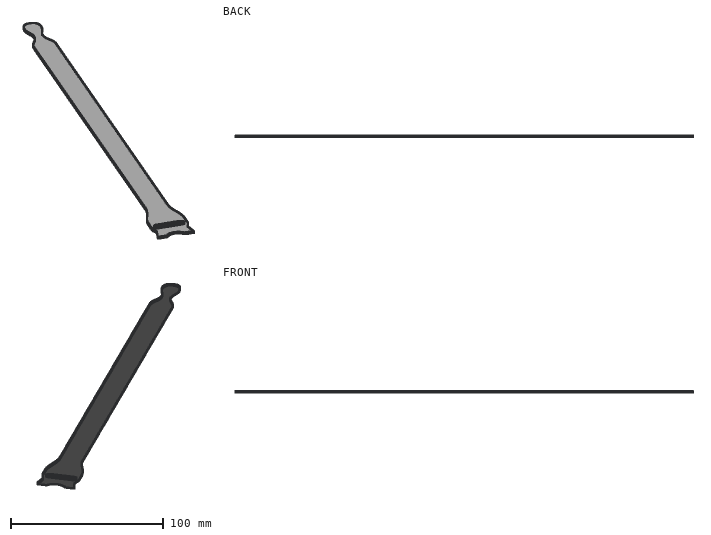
import cadquery as cq

length = 300.0
end_half_width = 25.0 / 2
thickness = 1.2

tab_half_width = 11.7 / 2
tab_widest_x = 7.0
neck_x = 18.0
neck_half_width = 3.0
strap_half_width = 15.3 / 2
strap_start_x = 31.5
strap_end_x = 260.5

buckle_start_x = 280.8
buckle_end_x = 287.5
waist_x = 293.0
waist_half_width = 10.8
horn_half_width = 6.3
end_recess = 3.0
end_bevel = 0.3

slot_x = 286.2
slot_width = 4.8
slot_length = 20.7


def half_outline():
    """Half of the strap on the +Y side, closed along the centre line."""
    along = (1, 0)
    return (
        cq.Workplane("XY")
        .moveTo(0, 0)
        .spline([(tab_widest_x, tab_half_width)], tangents=[(0, 1), along], includeCurrent=True)
        .spline([(neck_x, neck_half_width)], tangents=[along, along], includeCurrent=True)
        .spline([(strap_start_x, strap_half_width)], tangents=[along, along], includeCurrent=True)
        .lineTo(strap_end_x, strap_half_width)
        .spline([(buckle_start_x, end_half_width)], tangents=[along, along], includeCurrent=True)
        .lineTo(buckle_end_x, end_half_width)
        .spline([(waist_x, waist_half_width)], tangents=[along, along], includeCurrent=True)
        .lineTo(length, end_half_width)
        .lineTo(length, 0)
        .close()
    )


half_strap = half_outline().extrude(thickness)
strap = half_strap.union(half_strap.mirror("XZ")).clean()

strap = strap.faces(">X").edges(">Z").chamfer(end_bevel)

recess = (
    cq.Workplane("XY")
    .moveTo(length, horn_half_width)
    .threePointArc((length - end_recess, 0), (length, -horn_half_width))
    .close()
    .extrude(thickness)
)

slot = (
    cq.Workplane("XY")
    .center(slot_x, 0)
    .slot2D(slot_length, slot_width, angle=90)
    .extrude(thickness)
)

result = strap.cut(recess).cut(slot)